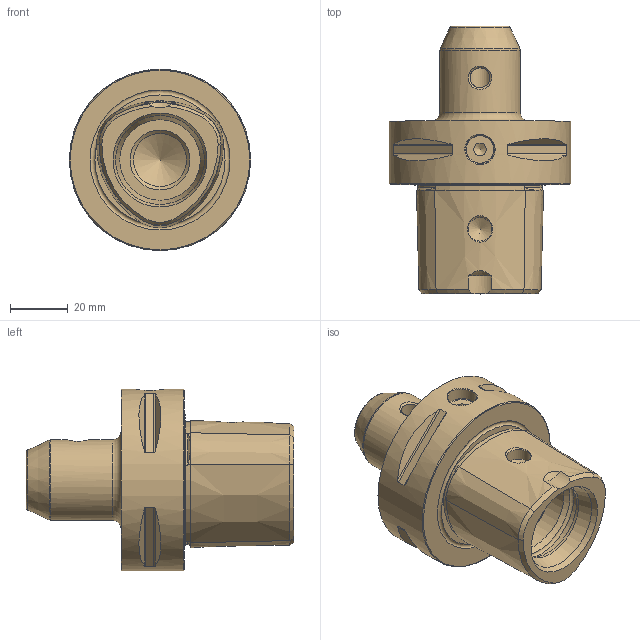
import cadquery as cq
import math


flange_radius = 31.5
flange_width = 22.0
flange_chamfer = 0.3
pad_height = 0.3
face_groove_outer_radius = 24.3
face_groove_inner_radius = 22.6
face_groove_arc_radius = 1.0

shank_length = 38.0
neck_length = 2.1
lobe_offset = 10.8
polygon_radius = 22.05
taper_angle = math.degrees(math.atan(1 / 40))
end_chamfer_length = 1.5
end_chamfer_depth = 1.0
neck_inset = 0.35
relief_radius = 22.3
relief_length = 1.2

nose_radius = 14.0
nose_length = 55.0
nose_base_fillet = 3.0
nose_cone_start = 46.8
nose_cone_angle = 25.0
nose_corner_fillet = 1.2
nose_tip_fillet = 1.0

entry_radius = 16.3
entry_chamfer_radius = 15.45
entry_chamfer_depth = 2.0
bore_radius = 14.0
entry_cone_depth = 6.9
groove_radius = 16.3
groove_start = 8.0
groove_end = 12.5
groove_fillet = 1.0
groove_ramp_end = 14.2
bore_depth = 21.0
pilot_radius = 10.4
pilot_chamfer_radius = 9.2
drill_tip_angle = 118.0

tool_bore_radius = 4.0
tool_bore_depth = 37.0
screw_position = 37.0
screw_hole_radius = 3.45
screw_hole_chamfer = 0.6
chip_position = 12.1
chip_hole_radius = 5.0
chip_hole_depth = 4.8
chip_hole_chamfer = 0.25
chip_pilot_radius = 2.2
chip_pilot_depth = 3.0
shank_hole_position = -15.6
shank_hole_radius = 4.1
shank_hole_countersink = 0.5
shank_hole_floor = 15.75
grip_position = 12.0
grip_floor_distance = 27.9
grip_floor_width = 3.5
grip_flank_angle = 30.0
grip_floor_fillet = 0.6
end_slot_radius = 6.25
end_slot_floor = 18.05
end_slot_length = 6.2

TAN_TIP = math.tan(math.radians(drill_tip_angle / 2))
COS_30 = math.cos(math.radians(30))
FILLET_MIDDLE = 1 - math.sqrt(0.5)
EDGE_TOLERANCE = 0.1


def polar(radius, degrees):
    return radius * math.cos(math.radians(degrees)), radius * math.sin(math.radians(degrees))


def polygon(y, half_width):
    """Three-lobed outline of constant width at height y, with one lobe pointing to -Z."""
    lobe_radius = half_width - lobe_offset * COS_30
    flank_radius = 2 * half_width - lobe_radius

    def lobe_point(lobe, normal):
        centre_x, centre_z = polar(lobe_offset, lobe)
        reach_x, reach_z = polar(lobe_radius, normal)
        return centre_x + reach_x, centre_z + reach_z

    outline = cq.Workplane("XZ", origin=(0, y, 0)).moveTo(*lobe_point(-90, -120))
    for lobe in (-90, 30, 150):
        outline = outline.threePointArc(lobe_point(lobe, lobe), lobe_point(lobe, lobe + 30))
        flank_middle = polar(flank_radius - lobe_offset, lobe + 60)
        outline = outline.threePointArc(flank_middle, lobe_point(lobe + 120, lobe + 90))
    return outline.close()


def turned(profile):
    """Turn a profile, drawn as radius and Y, about the Y axis."""
    return profile.close().revolve(360, (0, 0, 0), (0, 1, 0))


def drill(body, y, radius, top, floor, drill_tip=True):
    """Drill down from height top to height floor at (0, y), ending in a cone unless drill_tip is off."""
    hole = cq.Workplane("XY", origin=(0, y, floor)).circle(radius).extrude(top - floor)
    if drill_tip:
        tip_length = radius / TAN_TIP
        tip = cq.Solid.makeCone(radius, 0, tip_length, cq.Vector(0, y, floor), cq.Vector(0, 0, -1))
        hole = hole.union(cq.Workplane(tip))
    return body.cut(hole)


def chamfer_mouth(body, y, radius, mouth_height, chamfer):
    """Chamfer the rim where a vertical hole at (0, y) leaves the curved surface."""
    reach = radius + EDGE_TOLERANCE
    rim = cq.selectors.BoxSelector(
        (-reach, y - reach, mouth_height - radius),
        (reach, y + reach, mouth_height + radius),
        boundingbox=True,
    )
    return body.edges(rim).chamfer(chamfer)


def flange():
    """Round flange with a ring groove in its front face."""
    disc = cq.Workplane("XZ").circle(flange_radius).extrude(-flange_width)
    disc = disc.faces("<Y").edges().chamfer(flange_chamfer)
    middle_radius = (face_groove_outer_radius + face_groove_inner_radius) / 2
    pad = cq.Workplane("XZ").circle(middle_radius).extrude(pad_height)
    groove_width = face_groove_outer_radius - face_groove_inner_radius
    chord = math.hypot(groove_width, pad_height)
    chord_to_centre = math.sqrt(face_groove_arc_radius ** 2 - (chord / 2) ** 2)
    centre_radius = middle_radius + chord_to_centre * pad_height / chord
    centre_y = -pad_height / 2 - chord_to_centre * groove_width / chord
    groove = (
        cq.Workplane("XY")
        .center(centre_radius, centre_y)
        .circle(face_groove_arc_radius)
        .revolve(360, (-centre_radius, 0, 0), (-centre_radius, 1, 0))
    )
    return disc.union(pad).cut(groove)


def shank():
    """Tapered polygon with a chamfered end and a relieved neck at the flange."""
    body_length = shank_length - neck_length - end_chamfer_length
    body = polygon(-neck_length, polygon_radius).extrude(body_length, taper=taper_angle)
    end_radius = polygon_radius - body_length * math.tan(math.radians(taper_angle))
    end_angle = math.degrees(math.atan(end_chamfer_depth / end_chamfer_length))
    end = polygon(-neck_length - body_length, end_radius).extrude(end_chamfer_length, taper=end_angle)
    cone_radius = relief_radius + neck_length - relief_length
    relief = turned(
        cq.Workplane("XY")
        .lineTo(relief_radius, 0)
        .lineTo(relief_radius, -relief_length)
        .lineTo(cone_radius, -neck_length)
        .lineTo(0, -neck_length)
    )
    neck = polygon(0, polygon_radius - neck_inset).extrude(neck_length).intersect(relief)
    return body.union(end).union(neck)


def nose():
    """Round nose with a conical end and a fillet at the flange."""
    cone_length = nose_length - nose_cone_start
    tip_radius = nose_radius - cone_length * math.tan(math.radians(nose_cone_angle))
    body = turned(
        cq.Workplane("XY")
        .moveTo(0, flange_width)
        .lineTo(nose_radius, flange_width)
        .lineTo(nose_radius, nose_cone_start)
        .lineTo(tip_radius, nose_length)
        .lineTo(0, nose_length)
    )
    body = body.faces(">Y").edges().fillet(nose_tip_fillet)
    corner = cq.selectors.BoxSelector(
        (-flange_radius, nose_cone_start - EDGE_TOLERANCE, -flange_radius),
        (flange_radius, nose_cone_start + EDGE_TOLERANCE, flange_radius),
        boundingbox=True,
    )
    body = body.edges(corner).fillet(nose_corner_fillet)
    arc_middle = nose_base_fillet * FILLET_MIDDLE
    root = turned(
        cq.Workplane("XY")
        .moveTo(0, flange_width)
        .lineTo(nose_radius + nose_base_fillet, flange_width)
        .threePointArc(
            (nose_radius + arc_middle, flange_width + arc_middle),
            (nose_radius, flange_width + nose_base_fillet),
        )
        .lineTo(0, flange_width + nose_base_fillet)
    )
    return body.union(root)


def shank_bore():
    """Stepped bore with a chamfered, conical mouth, a ring groove and a drilled end."""
    end = -shank_length
    chamfer_depth = pilot_radius - pilot_chamfer_radius
    pilot_depth = bore_depth + chamfer_depth
    tip_depth = pilot_depth + pilot_chamfer_radius / TAN_TIP
    fillet_middle = groove_fillet * FILLET_MIDDLE
    return turned(
        cq.Workplane("XY")
        .moveTo(0, end)
        .lineTo(entry_radius, end)
        .lineTo(entry_chamfer_radius, end + entry_chamfer_depth)
        .lineTo(bore_radius, end + entry_cone_depth)
        .lineTo(bore_radius, end + groove_start)
        .lineTo(groove_radius, end + groove_start)
        .lineTo(groove_radius, end + groove_end - groove_fillet)
        .threePointArc(
            (groove_radius - fillet_middle, end + groove_end - fillet_middle),
            (groove_radius - groove_fillet, end + groove_end),
        )
        .lineTo(bore_radius, end + groove_ramp_end)
        .lineTo(bore_radius, end + bore_depth)
        .lineTo(pilot_radius, end + bore_depth)
        .lineTo(pilot_chamfer_radius, end + pilot_depth)
        .lineTo(0, end + tip_depth)
    )


def tool_bore():
    """Round bore for the tool shank, open at the nose end."""
    nose_end = cq.Workplane("XZ", origin=(0, nose_length, 0))
    return nose_end.circle(tool_bore_radius).extrude(tool_bore_depth)


def add_screw_hole(body):
    """Hole from the top of the nose into the tool bore."""
    body = drill(body, screw_position, screw_hole_radius, nose_radius, 0, drill_tip=False)
    return chamfer_mouth(body, screw_position, screw_hole_radius, nose_radius, screw_hole_chamfer)


def add_chip_hole(body):
    """Flat-bottomed hole in the rim of the flange, with a small drilled hole in its floor."""
    floor = flange_radius - chip_hole_depth
    body = drill(body, chip_position, chip_hole_radius, flange_radius, floor, drill_tip=False)
    body = chamfer_mouth(body, chip_position, chip_hole_radius, flange_radius, chip_hole_chamfer)
    return drill(body, chip_position, chip_pilot_radius, floor, floor - chip_pilot_depth)


def add_shank_hole(body):
    """Blind countersunk hole in the upper flank of the shank."""
    body = drill(body, shank_hole_position, shank_hole_radius, polygon_radius, shank_hole_floor)
    taper_loss = (-shank_hole_position - neck_length) * math.tan(math.radians(taper_angle))
    flat_height = polygon_radius - lobe_offset * (1 - COS_30) - taper_loss
    cone_height = 2 * shank_hole_countersink
    countersink = cq.Solid.makeCone(
        shank_hole_radius,
        shank_hole_radius + cone_height,
        cone_height,
        cq.Vector(0, shank_hole_position, flat_height - shank_hole_countersink),
        cq.Vector(0, 0, 1),
    )
    return body.cut(cq.Workplane(countersink))


def grip_slot(angle):
    """Straight V-slot with a flat floor, cut across the rim at the given angle about Y."""
    depth = flange_radius - grip_floor_distance
    half_floor = grip_floor_width / 2
    half_mouth = half_floor + depth * math.tan(math.radians(grip_flank_angle))
    slot = (
        cq.Workplane("XY", origin=(0, grip_position, -flange_radius))
        .polyline([
            (grip_floor_distance, -half_floor),
            (flange_radius, -half_mouth),
            (flange_radius, half_mouth),
            (grip_floor_distance, half_floor),
        ])
        .close()
        .extrude(2 * flange_radius)
        .edges("|Z and <X")
        .fillet(grip_floor_fillet)
    )
    return slot.rotate((0, 0, 0), (0, 1, 0), angle)


def end_slot():
    """Round-bottomed slot in the shank end that runs out in a 45 degree cone."""
    start = -shank_length
    stop = start + end_slot_length
    cutter = turned(
        cq.Workplane("XY")
        .moveTo(0, start)
        .lineTo(end_slot_radius, start)
        .lineTo(end_slot_radius, stop)
        .lineTo(0, stop + end_slot_radius)
    )
    return cutter.translate((0, 0, end_slot_floor + end_slot_radius))


result = flange().union(shank()).union(nose())
for cutter in (shank_bore(), tool_bore(), end_slot()):
    result = result.cut(cutter)
for add_hole in (add_screw_hole, add_chip_hole, add_shank_hole):
    result = add_hole(result)
for quarter in range(4):
    result = result.cut(grip_slot(45 + 90 * quarter))